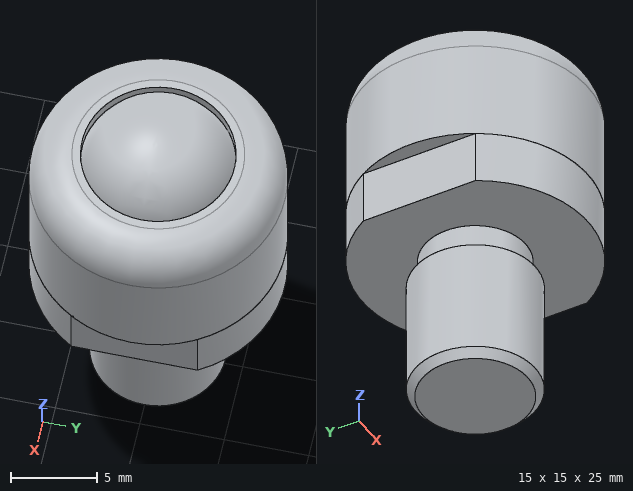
import cadquery as cq

total_height = 25.0
body_radius = 7.5

stud_radius = 4.0
stud_top = 8.05
stud_chamfer = 0.5
neck_radius = 3.35
flange_bottom = 10.0
flange_top = 13.5
across_flats = 13.0

cap_top = 22.5
cap_fillet = 2.5
ball_radius = 4.75
ball_center_z = total_height - ball_radius
mouth_radius = 4.5


def cylinder(radius, bottom, top):
    return cq.Workplane("XY").workplane(offset=bottom).circle(radius).extrude(top - bottom)


def ball_shape():
    return cq.Workplane("XY").sphere(ball_radius).translate((0, 0, ball_center_z))


def make_base():
    stud = cylinder(stud_radius, 0, stud_top).faces("<Z").chamfer(stud_chamfer)
    neck = cylinder(neck_radius, stud_top, flange_bottom)
    flange_height = flange_top - flange_bottom
    flats = (
        cq.Workplane("XY")
        .workplane(offset=flange_bottom)
        .rect(across_flats, 2 * body_radius)
        .extrude(flange_height)
    )
    flange = cylinder(body_radius, flange_bottom, flange_top).intersect(flats)
    return stud.union(neck).union(flange)


def make_cap():
    """Rounded cap with a spherical seat that opens into a cylindrical mouth."""
    cap = cylinder(body_radius, flange_top, cap_top).faces(">Z").edges().fillet(cap_fillet)
    mouth = cylinder(mouth_radius, ball_center_z, cap_top)
    return cap.cut(ball_shape()).cut(mouth)


base = make_base()
cap = make_cap()
ball = ball_shape()

result = cq.Compound.makeCompound([base.val(), cap.val(), ball.val()])